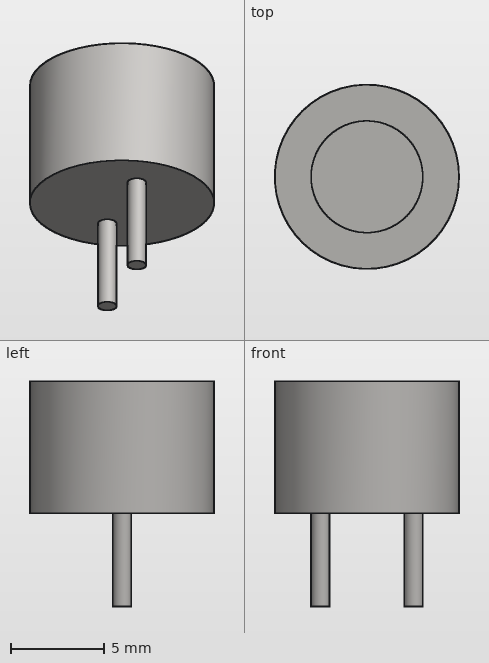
import cadquery as cq

total_height = 12.1
body_diameter = 9.9
pin_length = 5.0
body_height = total_height - pin_length

recess_diameter = 6.0
recess_depth = 0.4

pin_diameter = 1.0
pin_spacing = 5.0

body = cq.Workplane("XY").circle(body_diameter / 2).extrude(body_height)

recess = (
    cq.Workplane("XY", origin=(0, 0, body_height - recess_depth))
    .circle(recess_diameter / 2)
    .extrude(recess_depth)
)

pins = (
    cq.Workplane("XY")
    .pushPoints([(-pin_spacing / 2, 0), (pin_spacing / 2, 0)])
    .circle(pin_diameter / 2)
    .extrude(-pin_length)
)

result = body.cut(recess).union(pins)